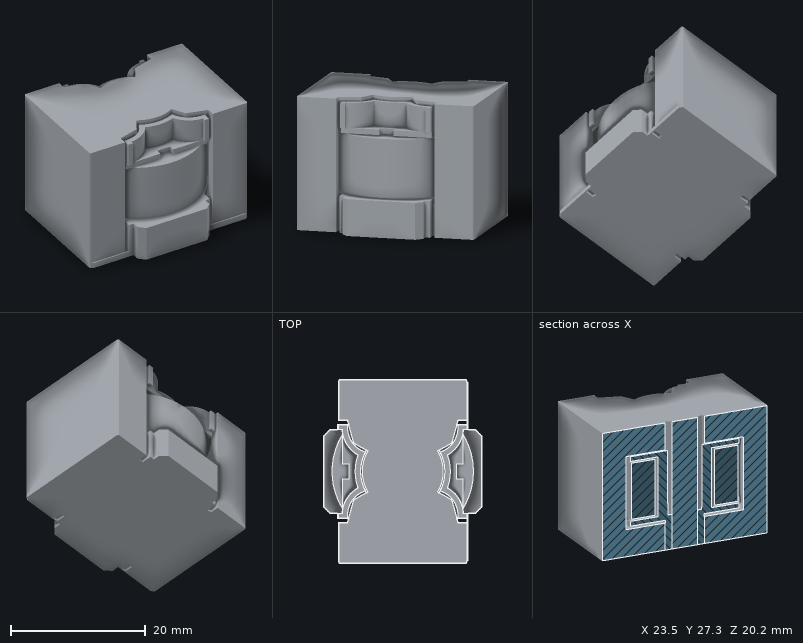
import cadquery as cq
import math

core_width = 19.0
core_length = 27.3
core_height = 20.23
core_corner_radius = 0.25
plate_thickness = 4.37
centre_leg_diameter = 12.0
window_diameter = 22.39
opening_length = 15.18
notch_mouth_x = 8.22
notch_knee_radius = 8.44
notch_knee_angle = math.radians(30.2)

winding_outer_diameter = 21.0
winding_inner_diameter = 14.9
winding_clearance = 0.22

bore_diameter = 12.5
tube_diameter = 14.4
flange_diameter = 21.3
flange_width = 17.9
shoulder_length = 13.92
lower_flange_bottom = 4.72
lower_flange_top = 5.57
upper_flange_bottom = 14.95
upper_flange_top = 15.8
flange_slot_width = 2.25
flange_slot_depth = 0.95

wall_top = 19.6
wall_thickness = 0.82
scallop_radius = 3.77
scallop_x = 4.42
scallop_y = 6.47

base_width = 23.5
base_length = 12.42
base_chamfer = 0.95
shoulder_width = 19.38

strip_length = 26.48
strip_height = 0.9


def box(x_min, x_max, length, z_min, z_max):
    """Block between two X planes, centred on Y = 0."""
    size_x = x_max - x_min
    return (
        cq.Workplane("XY")
        .box(size_x, length, z_max - z_min, centered=(False, True, False))
        .translate((x_min, 0, z_min))
    )


def disc(diameter, z_min, z_max, x=0.0, y=0.0):
    """Vertical cylinder between two Z planes."""
    return (
        cq.Workplane("XY", origin=(x, y, z_min))
        .circle(diameter / 2)
        .extrude(z_max - z_min)
    )


def both_sides(shape):
    """The +X shape together with its mirror image at -X."""
    return shape.union(shape.mirror("YZ"))


def plate_notch():
    """Recess on the +X side of the core that follows the round centre leg."""
    leg_radius = centre_leg_diameter / 2
    cos_knee = math.cos(notch_knee_angle)
    sin_knee = math.sin(notch_knee_angle)
    knee = (notch_knee_radius * cos_knee, notch_knee_radius * sin_knee)
    tip = (leg_radius * cos_knee, leg_radius * sin_knee)
    half_opening = opening_length / 2
    outside_x = base_width / 2
    return (
        cq.Workplane("XY")
        .moveTo(outside_x, -half_opening)
        .lineTo(notch_mouth_x, -half_opening)
        .lineTo(knee[0], -knee[1])
        .lineTo(tip[0], -tip[1])
        .threePointArc((leg_radius, 0), tip)
        .lineTo(*knee)
        .lineTo(notch_mouth_x, half_opening)
        .lineTo(outside_x, half_opening)
        .close()
        .extrude(core_height)
    )


def make_core():
    block = box(-core_width / 2, core_width / 2, core_length, 0, core_height)
    block = block.edges("|Z").fillet(core_corner_radius)
    window_top = core_height - plate_thickness
    window = disc(window_diameter, plate_thickness, window_top)
    window = window.cut(disc(centre_leg_diameter, plate_thickness, window_top))
    return block.cut(window).cut(both_sides(plate_notch()), clean=False)


def make_winding():
    bottom = lower_flange_top + winding_clearance
    top = upper_flange_bottom - winding_clearance
    return disc(winding_outer_diameter, bottom, top).cut(disc(winding_inner_diameter, bottom, top))


def scalloped_block(x_max, length, centre_diameter, side_radius):
    """Block above the upper flange, hollowed towards the core by a centre arc and two side arcs."""
    levels = (upper_flange_top, wall_top)
    block = box(scallop_x, x_max, length, *levels)
    block = block.cut(disc(centre_diameter, *levels))
    for y in (-scallop_y, scallop_y):
        block = block.cut(disc(2 * side_radius, *levels, scallop_x, y))
    return block


def flange(z_min, z_max):
    """Round flange trimmed flat at both X ends, with straight shoulders there."""
    straight_part = box(-flange_width / 2, flange_width / 2, shoulder_length, z_min, z_max)
    trim = box(-flange_width / 2, flange_width / 2, flange_diameter, z_min, z_max)
    return disc(flange_diameter, z_min, z_max).intersect(trim).union(straight_part)


def upper_flange():
    edge_x = flange_width / 2
    slot = box(edge_x - flange_slot_depth, edge_x, flange_slot_width, upper_flange_bottom, upper_flange_top)
    return flange(upper_flange_bottom, upper_flange_top).cut(both_sides(slot))


def upper_wall():
    """Upright wall on the +X side, of even thickness along the three arcs."""
    outer = scalloped_block(core_width / 2, shoulder_length, bore_diameter, scallop_radius)
    inner_diameter = bore_diameter + 2 * wall_thickness
    inner_radius = scallop_radius + wall_thickness
    hollow = scalloped_block(core_width / 2, base_length, inner_diameter, inner_radius)
    return outer.cut(hollow)


def terminal_base():
    """Terminal block with shoulders, fitted into the core notch."""
    block = box(0, base_width / 2, base_length, 0, lower_flange_top)
    block = block.edges("|Z and >X").chamfer(base_chamfer)
    shoulders = box(0, shoulder_width / 2, shoulder_length, 0, lower_flange_top)
    return shoulders.union(block).intersect(plate_notch())


def base_strip():
    """Thin strip along the foot of the core's +X face."""
    return box(core_width / 2, shoulder_width / 2, strip_length, 0, strip_height)


def make_bobbin():
    body = disc(tube_diameter, lower_flange_bottom, upper_flange_top)
    body = body.union(flange(lower_flange_bottom, lower_flange_top))
    body = body.union(upper_flange())
    body = body.cut(disc(bore_diameter, lower_flange_bottom, upper_flange_top))
    body = body.union(both_sides(upper_wall()))
    body = body.union(both_sides(terminal_base()))
    return body.union(base_strip())


core = make_core()
winding = make_winding()
bobbin = make_bobbin()

result = cq.Compound.makeCompound([core.val(), bobbin.val(), winding.val()])